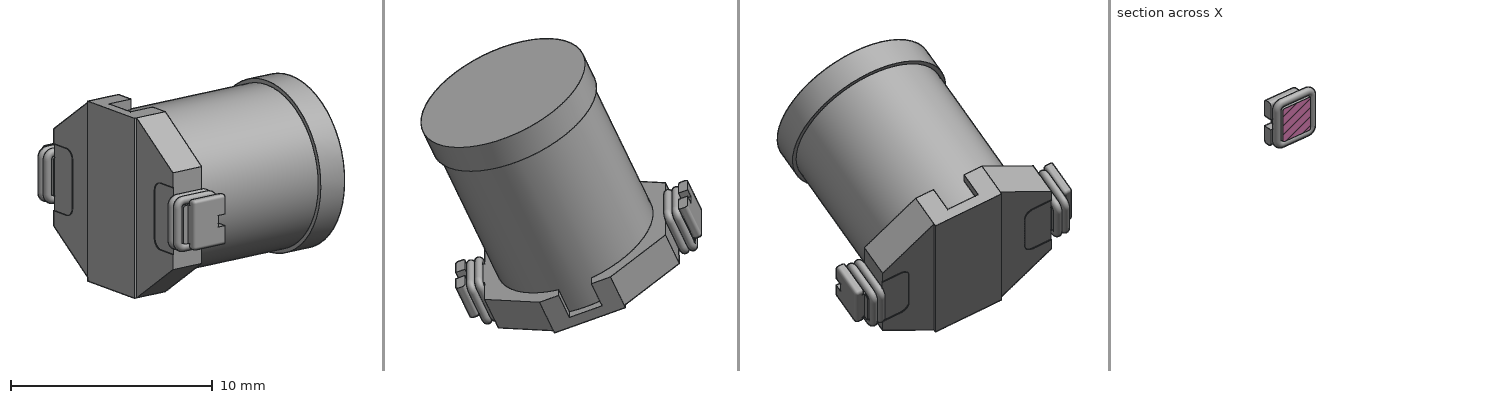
import cadquery as cq

overall_width = 12.45

drum_radius = 4.2
drum_length = 7.79
cap_radius = 4.41
cap_thickness = 1.5

base_width = 9.71
base_height = 9.3
base_thickness = 1.79
top_flat_width = 3.81
side_flat_height = 5.0
centre_strip_rise = 0.14
base_front = -base_thickness

slot_width = 1.75
slot_depth = 1.38

recess_length = 1.52
recess_height = 3.45
recess_depth = 0.05
recess_corner_radius = 0.5

wire_diameter = 0.42
turn_spacing = 0.44
turns_per_post = 2
turn_inner_radius = 0.11

post_height = 1.99
flange_height = 2.56
flange_length = 1.93
flange_thickness = 0.5
flange_edge_radius = 0.16
flange_rear = wire_diameter
flange_inner_x = overall_width / 2 - flange_thickness
notch_height = 0.6
notch_depth = wire_diameter

LEFT, RIGHT = -1, 1


def block(x_range, y_range, z_range):
    """Box between the given limits along X, Y and Z."""
    sizes = [abs(end - start) for start, end in (x_range, y_range, z_range)]
    middle = tuple((start + end) / 2 for start, end in (x_range, y_range, z_range))
    return cq.Workplane("XY").box(*sizes).translate(middle)


def centred(size):
    """Limits of a length centred on zero."""
    return (-size / 2, size / 2)


def make_drum():
    """Round drum with a wider cap, running into the base as far as the slots go."""
    rear = drum_length + cap_thickness
    profile = [
        (-slot_depth, 0),
        (-slot_depth, drum_radius),
        (drum_length, drum_radius),
        (drum_length, cap_radius),
        (rear, cap_radius),
        (rear, 0),
    ]
    return cq.Workplane("YZ").polyline(profile).close().revolve(360, (0, 0), (1, 0))


def make_base():
    """Octagonal plate with a raised centre strip and slots in its top and bottom edges."""
    corners = [
        (top_flat_width / 2, base_height / 2),
        (base_width / 2, side_flat_height / 2),
        (base_width / 2, -side_flat_height / 2),
        (top_flat_width / 2, -base_height / 2),
    ]
    outline = corners + [(-x, z) for x, z in reversed(corners)]
    plate = cq.Workplane("XZ").polyline(outline).close().extrude(base_thickness)
    strip = block(centred(top_flat_width), (0, base_front - centre_strip_rise), centred(base_height))
    slots = block(centred(slot_width), (0, -slot_depth), centred(base_height))
    return plate.union(strip).cut(slots)


def make_pad_recess(side):
    """Shallow recess, open at the side edge and rounded at its two inner corners."""
    inner_x = base_width / 2 - recess_length
    recess = block(
        (side * inner_x, side * base_width / 2),
        (base_front, base_front + recess_depth),
        centred(recess_height),
    )
    inner_corners = "|Y and <X" if side == RIGHT else "|Y and >X"
    return recess.edges(inner_corners).fillet(recess_corner_radius)


def make_post(side):
    """Post carrying the wire turns, with its notched and rounded end flange."""
    post = block((side * base_width / 2, side * flange_inner_x), (base_front, 0), centred(post_height))
    post = post.edges("|X").fillet(turn_inner_radius)

    flange_x = (side * flange_inner_x, side * overall_width / 2)
    flange_y = (flange_rear - flange_length, flange_rear)
    flange = block(flange_x, flange_y, centred(flange_height))
    flange = flange.faces("<Y or >Z or <Z").edges("not >Y").fillet(flange_edge_radius)

    root = block(flange_x, flange_y, centred(post_height))
    outer_edge = "<Y and >X" if side == RIGHT else "<Y and <X"
    root = root.edges(outer_edge).fillet(flange_edge_radius)

    notch = block(flange_x, (flange_rear - notch_depth, flange_rear), centred(notch_height))
    return post.union(flange.union(root).cut(notch))


def make_core():
    """Drum, base and both posts, all in one piece."""
    core = make_base().union(make_drum())
    for side in (LEFT, RIGHT):
        core = core.cut(make_pad_recess(side)).union(make_post(side))
    return core


def make_wire_turn(x):
    """Closed rounded-rectangular turn of round wire, hugging a post at the given X."""
    path_depth = base_thickness + wire_diameter
    path_height = post_height + wire_diameter
    bend_radius = turn_inner_radius + wire_diameter / 2
    middle_y = base_front / 2
    outline = cq.Workplane("YZ", origin=(x, middle_y, 0)).rect(path_depth, path_height).val()
    path = outline.fillet2D(bend_radius, outline.Vertices())
    section = cq.Workplane("XY", origin=(x, middle_y + path_depth / 2, 0)).circle(wire_diameter / 2)
    return section.sweep(cq.Workplane(path))


core = make_core()

wire_turns = []
for side in (LEFT, RIGHT):
    for turn in range(turns_per_post):
        offset = flange_inner_x - wire_diameter / 2 - turn * turn_spacing
        wire_turns.append(make_wire_turn(side * offset))

result = cq.Compound.makeCompound([core.val(), *[turn.val() for turn in wire_turns]])